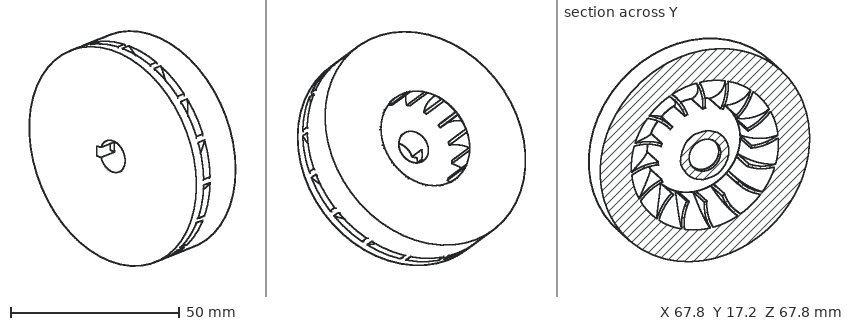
import cadquery as cq
import math


outer_diameter = 67.83
outer_radius = outer_diameter / 2
width = 17.18

hub_plate_thickness = 3.2
outlet_width = 2.8
shroud_edge = hub_plate_thickness + outlet_width
hub_curve_radius = 66.0
eye_radius = 15.0

blade_count = 16
blade_thickness = 1.0
blade_arc_radius = 15.5
blade_outlet_angle = 32.7

bore_radius = 5.0
keyway_width = 3.2
keyway_reach = 6.5
keyway_corner_radius = 0.35
keyway_depth = 6.0


front_face = cq.Plane(origin=(0, 0, 0), xDir=(1, 0, 0), normal=(0, -1, 0))


def disc(radius):
    """Full-width cylinder about the Y axis."""
    return cq.Workplane(front_face).circle(radius).extrude(-width)


def hub_height(radius):
    """Y of the hub surface, an arc that is level at the rim and rises towards the axis."""
    inset = outer_radius - radius
    return hub_plate_thickness + hub_curve_radius - math.sqrt(hub_curve_radius**2 - inset**2)


def shroud_height(radius):
    """Y of the shroud surface, an arc level at the rim that meets the back face at the eye."""
    rise = width - shroud_edge
    run = outer_radius - eye_radius
    curve_radius = (run**2 + rise**2) / (2 * rise)
    inset = outer_radius - radius
    return shroud_edge + curve_radius - math.sqrt(curve_radius**2 - inset**2)


def passage():
    """Ring-shaped space from the open eye at the back out to the rim."""
    hub_middle = (outer_radius + bore_radius) / 2
    shroud_middle = (outer_radius + eye_radius) / 2
    return (
        cq.Workplane("XY")
        .moveTo(0, hub_height(bore_radius))
        .lineTo(bore_radius, hub_height(bore_radius))
        .threePointArc((hub_middle, hub_height(hub_middle)), (outer_radius, hub_plate_thickness))
        .lineTo(outer_radius, shroud_edge)
        .threePointArc((shroud_middle, shroud_height(shroud_middle)), (eye_radius, width))
        .lineTo(0, width)
        .close()
        .revolve(360, (0, 0, 0), (0, 1, 0))
    )


def half_ring(inner_radius, thickness, center, start_angle):
    """Half of a ring, swept clockwise in X and Z from start_angle, as deep as the part."""
    ring_outer = inner_radius + thickness

    def point(radius, turn):
        angle = start_angle - turn
        return (center[0] + radius * math.cos(angle), center[1] + radius * math.sin(angle))

    return (
        cq.Workplane(front_face)
        .moveTo(*point(ring_outer, 0))
        .threePointArc(point(ring_outer, math.pi / 2), point(ring_outer, math.pi))
        .lineTo(*point(inner_radius, math.pi))
        .threePointArc(point(inner_radius, math.pi / 2), point(inner_radius, 0))
        .close()
        .extrude(-width)
    )


def blade():
    """Arc-shaped wall that meets the rim at +Z and ends at the eye."""
    outlet_angle = math.radians(blade_outlet_angle)
    center_x = -blade_arc_radius * math.sin(outlet_angle)
    center_z = outer_radius - blade_arc_radius * math.cos(outlet_angle)
    start_angle = math.atan2(center_z, center_x)
    wall = half_ring(
        blade_arc_radius - blade_thickness / 2, blade_thickness, (center_x, center_z), start_angle
    )
    return wall.intersect(disc(outer_radius)).cut(disc(eye_radius))


def flow_channels():
    """The passage, divided by evenly spaced blades."""
    channels = passage()
    first_blade = blade()
    for index in range(blade_count):
        turn = index * 360 / blade_count
        channels = channels.cut(first_blade.rotate((0, 0, 0), (0, 1, 0), turn))
    return channels


def keyway():
    """Slot on the -X side of the bore with rounded outer corners, open at the front face."""
    return (
        cq.Workplane(front_face)
        .center(-keyway_reach / 2, 0)
        .rect(keyway_reach, keyway_width)
        .extrude(-keyway_depth)
        .edges("|Y and <X")
        .fillet(keyway_corner_radius)
    )


result = (
    disc(outer_radius)
    .cut(flow_channels())
    .cut(disc(bore_radius))
    .cut(keyway())
)